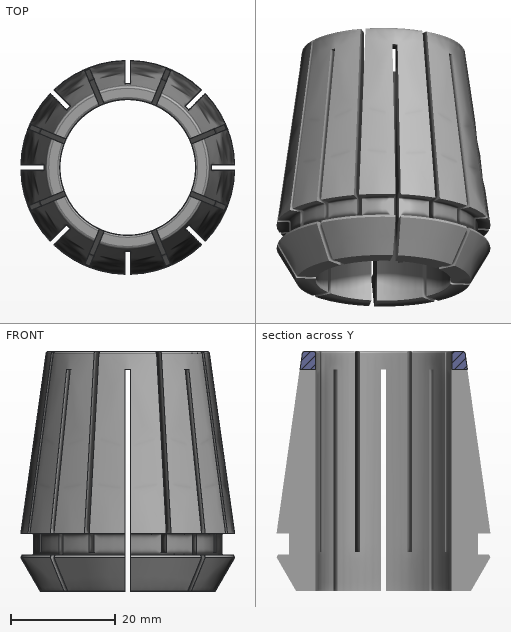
import cadquery as cq
import math

height = 46.0
outer_radius = 20.5
bore_diameter = 26.0
bore_radius = bore_diameter / 2

taper_angle = 8.0
taper_base_z = 11.1

nose_angle = 30.0
flange_rim_z = 6.5
flange_top_z = 7.0
flange_top_radius = 20.25

groove_radius = 18.1
groove_fillet = 0.2

rim_fillet = 0.5
bore_fillet = 0.4

slot_width = 1.0
slots_per_end = 8
slot_pitch = 360.0 / slots_per_end
lower_slot_top_z = 42.5
upper_slot_floor_z = 7.5
cut_margin = 1.0


def make_sleeve():
    """Revolve the unslotted collet section about Z."""
    nose_radius = outer_radius - flange_rim_z * math.tan(math.radians(nose_angle))
    taper_length = height - taper_base_z
    taper_top_radius = outer_radius - taper_length * math.tan(math.radians(taper_angle))
    section = [
        (bore_radius, 0),
        (nose_radius, 0),
        (outer_radius, flange_rim_z),
        (flange_top_radius, flange_top_z),
        (groove_radius, flange_top_z),
        (groove_radius, taper_base_z),
        (outer_radius, taper_base_z),
        (taper_top_radius, height),
        (bore_radius, height),
    ]
    return cq.Workplane("XZ").polyline(section).close().revolve(360, (0, 0), (0, 1))


def round_groove_corners(sleeve):
    """Fillet the two inside corners where the groove wall meets its side faces."""
    reach = groove_radius + groove_fillet
    groove_box = cq.selectors.BoxSelector(
        (-reach, -reach, flange_top_z - groove_fillet),
        (reach, reach, taper_base_z + groove_fillet),
        boundingbox=True,
    )
    return sleeve.edges(groove_box).edges("%CIRCLE").fillet(groove_fillet)


def round_top_edges(sleeve):
    """Fillet the outer rim and the bore mouth of the top face."""
    outer_rim = cq.selectors.RadiusNthSelector(-1)
    bore_mouth = cq.selectors.RadiusNthSelector(0)
    sleeve = sleeve.faces(">Z").edges(outer_rim).fillet(rim_fillet)
    return sleeve.faces(">Z").edges(bore_mouth).fillet(bore_fillet)


def cut_slots(sleeve, bottom_z, top_z, start_angle):
    """Cut a ring of radial slots through the wall between two heights."""
    slot_length = outer_radius + cut_margin
    slot = (
        cq.Workplane("XY")
        .box(slot_length, slot_width, top_z - bottom_z, centered=(False, True, False))
        .translate((0, 0, bottom_z))
    )
    for index in range(slots_per_end):
        angle = start_angle + index * slot_pitch
        sleeve = sleeve.cut(slot.rotate((0, 0, 0), (0, 0, 1), angle))
    return sleeve


collet = make_sleeve()
collet = round_groove_corners(collet)
collet = round_top_edges(collet)
collet = cut_slots(collet, -cut_margin, lower_slot_top_z, 0)
collet = cut_slots(collet, upper_slot_floor_z, height + cut_margin, slot_pitch / 2)
result = collet